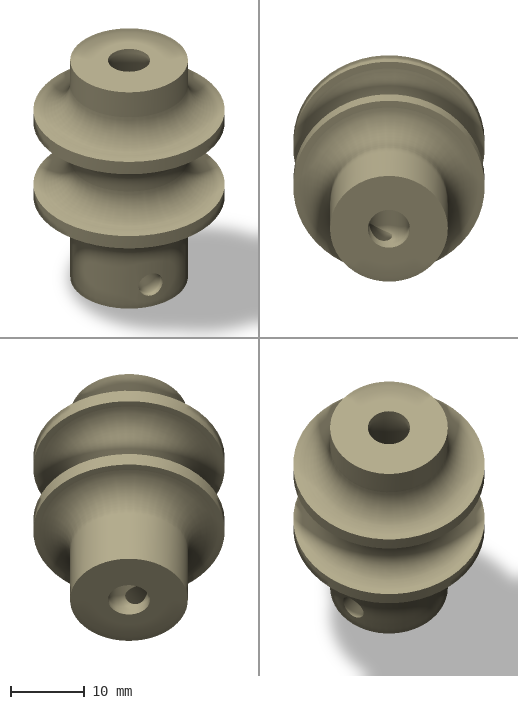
import cadquery as cq

height = 35.0
hub_diameter = 16.0
flange_diameter = 26.0
bore_diameter = 5.7
flange_thickness = 2.0
flange_pitch = 12.0
lower_flange_base = 13.0
flare_radius = 4.0
cross_hole_diameter = 3.5
cross_hole_height = 3.5

hub_radius = hub_diameter / 2
flange_radius = flange_diameter / 2
flare_edge_radius = hub_radius + flare_radius
flange_bases = [lower_flange_base, lower_flange_base + flange_pitch]


def flared_flange(base):
    """Disc blended into the hub by a concave quarter-round flare on each side."""
    top = base + flange_thickness
    bottom_flare_start = base - flare_radius
    top_flare_end = top + flare_radius
    bottom_center = (flare_edge_radius, bottom_flare_start)
    top_center = (flare_edge_radius, top_flare_end)
    diagonal = flare_radius / 2**0.5
    profile = (
        cq.Workplane("XZ")
        .moveTo(0, bottom_flare_start)
        .lineTo(hub_radius, bottom_flare_start)
        .threePointArc(
            (bottom_center[0] - diagonal, bottom_center[1] + diagonal),
            (flare_edge_radius, base),
        )
        .lineTo(flange_radius, base)
        .lineTo(flange_radius, top)
        .lineTo(flare_edge_radius, top)
        .threePointArc(
            (top_center[0] - diagonal, top_center[1] - diagonal),
            (hub_radius, top_flare_end),
        )
        .lineTo(0, top_flare_end)
        .close()
    )
    return profile.revolve(360, (0, 0, 0), (0, 1, 0))


body = cq.Workplane("XY").circle(hub_radius).extrude(height)
for flange_base in flange_bases:
    body = body.union(flared_flange(flange_base))

bore = cq.Workplane("XY").circle(bore_diameter / 2).extrude(height)

cross_hole = (
    cq.Workplane("YZ")
    .center(0, cross_hole_height)
    .circle(cross_hole_diameter / 2)
    .extrude(hub_radius)
)

result = body.cut(bore).cut(cross_hole)